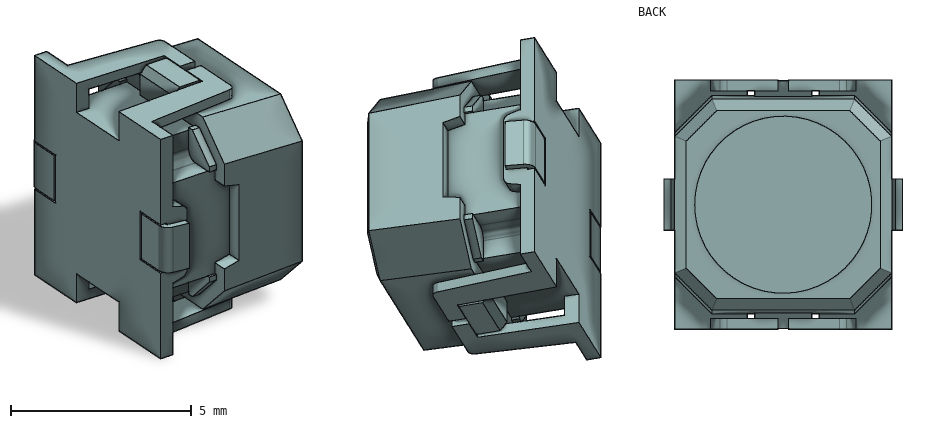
import cadquery as cq
import math

OVERALL_X = 6.6
OVERALL_Y = 5.0
OVERALL_Z = 6.9
OVERLAP = 0.07

PLATE_X = 6.0
PLATE_THICK = 0.415
NOTCH_FLOOR_Z = 2.54

ARM_TOP_Y = 3.41
ARM_THICK = 0.305
ARM_FOOT_X = 2.01
ARM_TIP_X = 1.74
ARM_CORNER_R = 0.19
WINDOW_FOOT_X = 1.01
WINDOW_TOP_X = 0.91
WINDOW_TOP_Y = 2.91
SLIT_X = 0.3

WING_X = 2.545
WING_Z = 1.65
CORE_WALL_X = 1.635
CORE_FILLET_R = 0.32

CAP_FRONT_Y = 2.17
CAP_SHOULDER_Y = 4.815
CAP_TOP_Y = 4.955
CAP_HALF_X = PLATE_X / 2
CAP_FRONT_HALF_Z = 3.02
CAP_SHOULDER_HALF_Z = 2.92
CAP_CORNER = 1.03
CAP_BEVEL = 0.32
BUTTON_R = 2.45
RECESS_TOP_Y = 2.66
RECESS_FRONT_Z = 1.305
RECESS_TOP_Z = 1.195

FLANGE_FRONT_Y = 1.925
FLANGE_HALF = 2.62
FLANGE_CORNER = 0.81

HOOK_X = 1.59
HOOK_FRONT_Y = 2.015
HOOK_TOP_Z = 3.43
HOOK_CHAMFER_Y = 0.21
HOOK_CHAMFER_Z = 0.23

BUMP_TOP_Y = 0.905
BUMP_FOOT_Z = 1.21
BUMP_TOP_Z = 1.075
BUMP_R = 0.22

TERMINAL_THICK = 0.2
TERMINAL_Z = 1.42
TERMINAL_INNER_X = 2.085
TERMINAL_BEND_R = 0.305
TERMINAL_TILT = 9.0
TERMINAL_TIP_Y = 0.76
POCKET_INNER_X = 2.01
POCKET_Z = 1.52


def box_between(x0, x1, y0, y1, z0, z1):
    """Box given by its limits along each axis."""
    return cq.Workplane("XY").box(x1 - x0, y1 - y0, z1 - z0, centered=False).translate((x0, y0, z0))


def both_sides(solid, plane):
    """The solid together with its mirror image."""
    return solid.union(solid.mirror(plane))


def octagon(half_x, half_z, corner):
    """Points of a rectangle in X and Z with 45 degree cut corners."""
    in_x = half_x - corner
    in_z = half_z - corner
    return [
        (half_x, in_z), (in_x, half_z), (-in_x, half_z), (-half_x, in_z),
        (-half_x, -in_z), (-in_x, -half_z), (in_x, -half_z), (half_x, -in_z),
    ]


def octagon_loft(y0, section0, y1, section1):
    """Straight-sided body between two octagons at y0 and y1."""
    return (
        cq.Workplane("XZ", origin=(0, y0, 0)).polyline(octagon(*section0)).close()
        .workplane(offset=y0 - y1).polyline(octagon(*section1)).close()
        .loft(ruled=True)
    )


def side_trapezoid(x0, x1, y0, half_z0, y1, half_z1):
    """Block from x0 to x1 whose Z half width changes from y0 to y1."""
    points = [(y0, -half_z0), (y1, -half_z1), (y1, half_z1), (y0, half_z0)]
    return cq.Workplane("YZ", origin=(x0, 0, 0)).polyline(points).close().extrude(x1 - x0)


def make_plate():
    """Base plate with its +Z and -Z latch arms, notches and terminal pockets."""
    half_x = PLATE_X / 2
    half_z = OVERALL_Z / 2
    plate = box_between(-half_x, half_x, 0, PLATE_THICK, -half_z, half_z)

    arm_outline = [(-ARM_FOOT_X, PLATE_THICK), (-ARM_TIP_X, ARM_TOP_Y),
                   (ARM_TIP_X, ARM_TOP_Y), (ARM_FOOT_X, PLATE_THICK)]
    arms = (
        cq.Workplane("XY", origin=(0, 0, half_z - ARM_THICK))
        .polyline(arm_outline).close().extrude(ARM_THICK)
        .edges("|Z and >Y").fillet(ARM_CORNER_R)
    )
    window_outline = [(-WINDOW_FOOT_X, 0), (-WINDOW_TOP_X, WINDOW_TOP_Y),
                      (WINDOW_TOP_X, WINDOW_TOP_Y), (WINDOW_FOOT_X, 0)]
    window = (
        cq.Workplane("XY", origin=(0, 0, NOTCH_FLOOR_Z)).polyline(window_outline).close()
        .extrude(half_z - NOTCH_FLOOR_Z)
    )
    slit = box_between(-SLIT_X / 2, SLIT_X / 2, WINDOW_TOP_Y, ARM_TOP_Y, half_z - ARM_THICK, half_z)
    opening = window.union(slit)
    pocket = box_between(POCKET_INNER_X, half_x, 0, TERMINAL_THICK, -POCKET_Z / 2, POCKET_Z / 2)

    plate = plate.union(both_sides(arms, "XY"))
    return plate.cut(both_sides(opening, "XY")).cut(both_sides(pocket, "YZ"))


def make_bump():
    """Rounded bump behind the +X edge of the plate."""
    bump = side_trapezoid(WING_X - OVERLAP, PLATE_X / 2, PLATE_THICK, BUMP_FOOT_Z, BUMP_TOP_Y, BUMP_TOP_Z)
    return bump.edges("|X and >Y").fillet(BUMP_R)


def make_core():
    """Cross-shaped core with filleted inner corners."""
    y0 = PLATE_THICK - OVERLAP
    y1 = RECESS_TOP_Y + OVERLAP
    wings = box_between(-WING_X, WING_X, y0, y1, -WING_Z, WING_Z)
    middle = box_between(-CORE_WALL_X, CORE_WALL_X, y0, y1, -NOTCH_FLOOR_Z, NOTCH_FLOOR_Z)
    inner_corners = cq.selectors.BoxSelector(
        (-CORE_WALL_X - OVERLAP, y0, -WING_Z - OVERLAP), (CORE_WALL_X + OVERLAP, y1, WING_Z + OVERLAP))
    return wings.union(middle).edges("|Y").edges(inner_corners).fillet(CORE_FILLET_R)


def make_cap():
    """Cap with a sloping rim, a round button face and a recess in each X side."""
    front = (CAP_HALF_X, CAP_FRONT_HALF_Z, CAP_CORNER)
    shoulder = (CAP_HALF_X, CAP_SHOULDER_HALF_Z, CAP_CORNER)
    top_corner = CAP_CORNER - CAP_BEVEL * (2 - math.sqrt(2))
    top = (CAP_HALF_X - CAP_BEVEL, CAP_SHOULDER_HALF_Z - CAP_BEVEL, top_corner)

    body = octagon_loft(CAP_FRONT_Y, front, CAP_SHOULDER_Y, shoulder)
    rim = octagon_loft(CAP_SHOULDER_Y, shoulder, CAP_TOP_Y, top)
    button_y = CAP_TOP_Y - OVERLAP
    button = cq.Workplane("XZ", origin=(0, button_y, 0)).circle(BUTTON_R).extrude(button_y - OVERALL_Y)
    recess = side_trapezoid(WING_X, CAP_HALF_X, CAP_FRONT_Y, RECESS_FRONT_Z, RECESS_TOP_Y, RECESS_TOP_Z)
    return body.union(rim).union(button).cut(both_sides(recess, "YZ"))


def make_flange():
    """Octagonal flange in front of the cap, cut back to the core so that only its corners remain."""
    section = (FLANGE_HALF, FLANGE_HALF, FLANGE_CORNER)
    flange = octagon_loft(FLANGE_FRONT_Y, section, CAP_FRONT_Y, section)
    side_gap = box_between(WING_X, FLANGE_HALF, FLANGE_FRONT_Y, CAP_FRONT_Y, -WING_Z, WING_Z)
    end_gap = box_between(
        -CORE_WALL_X, CORE_WALL_X, FLANGE_FRONT_Y, CAP_FRONT_Y, NOTCH_FLOOR_Z, FLANGE_HALF)
    return flange.cut(both_sides(side_gap, "YZ")).cut(both_sides(end_gap, "XY"))


def make_hook():
    """Hook on the +Z side with a chamfered lead-in edge."""
    outline = [
        (HOOK_FRONT_Y, NOTCH_FLOOR_Z - OVERLAP),
        (HOOK_FRONT_Y, HOOK_TOP_Z - HOOK_CHAMFER_Z),
        (HOOK_FRONT_Y + HOOK_CHAMFER_Y, HOOK_TOP_Z),
        (WINDOW_TOP_Y, HOOK_TOP_Z),
        (WINDOW_TOP_Y, NOTCH_FLOOR_Z - OVERLAP),
    ]
    return cq.Workplane("YZ", origin=(-HOOK_X / 2, 0, 0)).polyline(outline).close().extrude(HOOK_X)


def make_terminal():
    """Terminal strip on the +X side, bent up around the plate edge."""
    tilt = math.radians(TERMINAL_TILT)
    tip_x = OVERALL_X / 2
    inner_r = TERMINAL_BEND_R - TERMINAL_THICK
    turn = math.pi / 2 - tilt
    bend_end_x = TERMINAL_BEND_R * math.sin(turn)
    bend_end_y = TERMINAL_BEND_R * (1 - math.cos(turn))
    bend_x = tip_x - (TERMINAL_TIP_Y - bend_end_y) * math.tan(tilt) - bend_end_x

    def on_bend(radius, angle):
        return (bend_x + radius * math.sin(angle), TERMINAL_BEND_R - radius * math.cos(angle))

    inner_tip = (tip_x - TERMINAL_THICK * math.cos(tilt), TERMINAL_TIP_Y + TERMINAL_THICK * math.sin(tilt))
    return (
        cq.Workplane("XY", origin=(0, 0, -TERMINAL_Z / 2))
        .moveTo(TERMINAL_INNER_X, 0)
        .lineTo(bend_x, 0)
        .threePointArc(on_bend(TERMINAL_BEND_R, turn / 2), on_bend(TERMINAL_BEND_R, turn))
        .lineTo(tip_x, TERMINAL_TIP_Y)
        .lineTo(*inner_tip)
        .lineTo(*on_bend(inner_r, turn))
        .threePointArc(on_bend(inner_r, turn / 2), on_bend(inner_r, 0))
        .lineTo(TERMINAL_INNER_X, TERMINAL_THICK)
        .close()
        .extrude(TERMINAL_Z)
    )


result = (
    make_plate()
    .union(both_sides(make_bump(), "YZ"))
    .union(make_core())
    .union(make_cap())
    .union(make_flange())
    .union(both_sides(make_hook(), "XY"))
    .union(both_sides(make_terminal(), "YZ"))
)